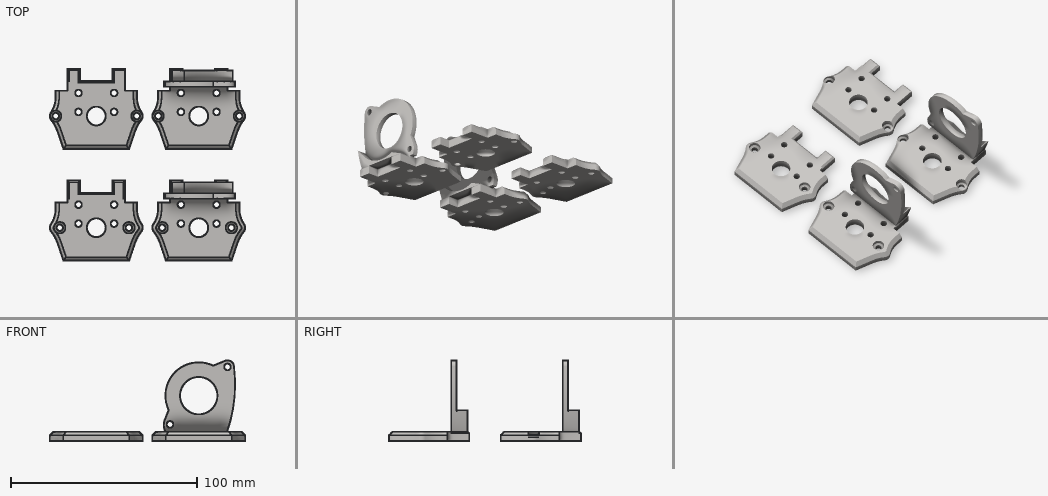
import cadquery as cq
import math

plate_thickness = 5.0
rim_chamfer = 2.0
front_edge_y = -17.7
front_half_width = 17.6
flank_top_x = 20.8
flank_top_y = -8.4
shoulder_x = 21.9
shoulder_y = 13.6
waist_y = 9.8
ear_x = 21.7
ear_radius = 3.3

prong_outer_x = 15.5
prong_inner_x = 8.6
prong_end_y = 25.5
notch_floor_y = 18.9
prong_chamfer = 1.0

base_bore_diameter = 10.0
mount_hole_diameter = 3.5
mount_hole_x = 9.6
mount_hole_rows = (2.2, 12.4)
screw_hole_diameter = 3.4
ear_counterbore_diameter = 6.0
ear_counterbore_depth = 3.0
inner_screw_reach = 18.6
inner_screw_shift = -1.0
inner_counterbore_diameter = 6.2
inner_counterbore_depth = 2.0

upright_front_y = 15.6
upright_back_y = 18.6
blower_z = 24.4
blower_radius = 18.0
blower_bore_diameter = 20.0
lug_offset = 15.4
lug_radius = 3.6
lug_hole_diameter = 3.5
lug_slope = 22.0
lower_slope_end_z = 11.4
lower_lug_foot_x = -18.0
volute_radius = 77.5
volute_center_rise = 6.2

cradle_back_y = prong_end_y - prong_chamfer
cradle_radius = 18.5
cradle_shoulder_angle = 25.0

column_pitch = 55.0
row_pitch = 60.0


def hollow_radius(end_x, end_y, normal_angle):
    """Radius of a concave arc that leaves (end_x, end_y) along its normal and touches the ear circle."""
    dx = end_x - ear_x
    along = dx * math.cos(normal_angle) + end_y * math.sin(normal_angle)
    return (dx**2 + end_y**2 - ear_radius**2) / (2 * (ear_radius - along))


def hollow(end_x, end_y, normal_angle):
    """Middle point of the concave arc and the point where it touches the ear circle."""
    radius = hollow_radius(end_x, end_y, normal_angle)
    center_x = end_x + radius * math.cos(normal_angle)
    center_y = end_y + radius * math.sin(normal_angle)
    toward_ear = math.atan2(-center_y, ear_x - center_x) % (2 * math.pi)
    toward_end = (normal_angle + math.pi) % (2 * math.pi)
    middle = (toward_ear + toward_end) / 2

    def on_arc(angle):
        return center_x + radius * math.cos(angle), center_y + radius * math.sin(angle)

    return on_arc(middle), on_arc(toward_ear)


def mirrored(point):
    """Point on the opposite side of the plate centre line."""
    return -point[0], point[1]


def rim_plate():
    """Main plate up to the shoulders, with its front and side rims chamfered."""
    flank_normal = math.atan2(front_half_width - flank_top_x, flank_top_y - front_edge_y)
    lower_middle, lower_touch = hollow(flank_top_x, flank_top_y, flank_normal)
    upper_middle, upper_touch = hollow(shoulder_x, waist_y, 0)
    ear_tip = (ear_x + ear_radius, 0)
    flank_top = (flank_top_x, flank_top_y)
    waist = (shoulder_x, waist_y)
    plate = (
        cq.Workplane("XY")
        .moveTo(-front_half_width, front_edge_y)
        .lineTo(front_half_width, front_edge_y)
        .lineTo(*flank_top)
        .threePointArc(lower_middle, lower_touch)
        .threePointArc(ear_tip, upper_touch)
        .threePointArc(upper_middle, waist)
        .lineTo(shoulder_x, shoulder_y)
        .lineTo(-shoulder_x, shoulder_y)
        .lineTo(*mirrored(waist))
        .threePointArc(mirrored(upper_middle), mirrored(upper_touch))
        .threePointArc(mirrored(ear_tip), mirrored(lower_touch))
        .threePointArc(mirrored(lower_middle), mirrored(flank_top))
        .close()
        .extrude(plate_thickness)
    )
    rim = plate.faces(">Z").edges("not >Y")
    return plate.newObject(rim.vals()).chamfer(rim_chamfer)


def prong_wedge(length):
    """Triangular cutter along +Y from the origin, taking off the edge at X = 0, Z = plate_thickness."""
    profile = [
        (0, plate_thickness),
        (prong_chamfer, plate_thickness),
        (0, plate_thickness - prong_chamfer),
    ]
    return cq.Workplane("XZ").polyline(profile).close().extrude(-length)


def prongs(left_bevel, right_bevel):
    """Two prongs joined by the notch floor; each bevel is the (start, end) Y of an outer chamfer."""
    block = (
        cq.Workplane("XY")
        .moveTo(-prong_outer_x, 0)
        .lineTo(prong_outer_x, 0)
        .lineTo(prong_outer_x, prong_end_y)
        .lineTo(prong_inner_x, prong_end_y)
        .lineTo(prong_inner_x, notch_floor_y)
        .lineTo(-prong_inner_x, notch_floor_y)
        .lineTo(-prong_inner_x, prong_end_y)
        .lineTo(-prong_outer_x, prong_end_y)
        .close()
        .extrude(plate_thickness)
    )
    rear_edges = block.faces(">Z").edges("not <Y").edges("not <X").edges("not >X")
    block = block.newObject(rear_edges.vals()).chamfer(prong_chamfer)
    left = prong_wedge(left_bevel[1] - left_bevel[0]).translate((-prong_outer_x, left_bevel[0], 0))
    right = prong_wedge(right_bevel[1] - right_bevel[0]).mirror("YZ")
    right = right.translate((prong_outer_x, right_bevel[0], 0))
    return block.cut(left).cut(right)


def flat_bracket(screw_xs, counterbore, left_bevel, right_bevel):
    """Plain bracket; the counterbore is a (diameter, depth) pair and each bevel a (start, end) pair in Y."""
    counterbore_diameter, counterbore_depth = counterbore
    mount_points = [(x, y) for x in (-mount_hole_x, mount_hole_x) for y in mount_hole_rows]
    plate = rim_plate().union(prongs(left_bevel, right_bevel))
    top = cq.Workplane("XY").workplane(offset=plate_thickness)
    bore = top.circle(base_bore_diameter / 2).extrude(-plate_thickness)
    mounts = top.pushPoints(mount_points).circle(mount_hole_diameter / 2).extrude(-plate_thickness)
    screws = top.pushPoints([(x, 0) for x in screw_xs])
    screw_holes = screws.circle(screw_hole_diameter / 2).extrude(-plate_thickness)
    counterbores = screws.circle(counterbore_diameter / 2).extrude(-counterbore_depth)
    return plate.cut(bore).cut(mounts).cut(screw_holes).cut(counterbores)


def volute_outline():
    """Closed outline of the upright in X and Z about the blower axis, resting on the plate top."""
    foot_z = plate_thickness - blower_z
    slope = math.radians(lug_slope)
    diagonal = math.sqrt(0.5)

    touch = (lug_offset - lug_radius * math.sin(slope), lug_offset + lug_radius * math.cos(slope))
    along = touch[0] * math.cos(slope) + touch[1] * math.sin(slope)
    run = along - math.sqrt(along**2 - touch[0] ** 2 - touch[1] ** 2 + blower_radius**2)
    notch = (touch[0] - run * math.cos(slope), touch[1] - run * math.sin(slope))

    lower_slope_end_rise = lower_slope_end_z - blower_z
    lower_slope_end_x = -touch[1] + (lower_slope_end_rise + touch[0]) * math.tan(slope)

    volute_rise = lug_offset - volute_center_rise
    volute_reach = volute_radius - lug_radius
    volute_center_x = lug_offset - math.sqrt(volute_reach**2 - volute_rise**2)
    volute_touch = (
        volute_center_x + volute_radius / volute_reach * (lug_offset - volute_center_x),
        volute_center_rise + volute_radius / volute_reach * volute_rise,
    )
    foot_x = volute_center_x + math.sqrt(volute_radius**2 - (foot_z - volute_center_rise) ** 2)
    lug_crown = lug_offset + lug_radius * diagonal

    return (
        cq.Workplane("XZ")
        .moveTo(foot_x, foot_z)
        .threePointArc((volute_center_x + volute_radius, volute_center_rise), volute_touch)
        .threePointArc((lug_crown, lug_crown), touch)
        .lineTo(*notch)
        .threePointArc((-blower_radius * diagonal, blower_radius * diagonal), (-notch[1], -notch[0]))
        .lineTo(lower_slope_end_x, lower_slope_end_rise)
        .tangentArcPoint((lower_lug_foot_x, foot_z), relative=False)
        .close()
    )


def upright():
    """Blower plate standing on the base, with the blower bore and a hole in each lug."""
    thickness = upright_back_y - upright_front_y
    plate = volute_outline().extrude(-thickness)
    bore = cq.Workplane("XZ").circle(blower_bore_diameter / 2).extrude(-thickness)
    lug_points = [(lug_offset, lug_offset), (-lug_offset, -lug_offset)]
    lug_holes = cq.Workplane("XZ").pushPoints(lug_points).circle(lug_hole_diameter / 2).extrude(-thickness)
    return plate.cut(bore).cut(lug_holes).translate((0, upright_front_y, blower_z))


def cradle():
    """Ledge behind the upright: a sloped left shoulder, a bowl round the blower, a 45 degree right ramp."""
    depth = cradle_back_y - upright_back_y
    foot_z = plate_thickness - blower_z
    slope = math.radians(lug_slope)
    bowl_end = math.radians(cradle_shoulder_angle)
    shoulder = (-cradle_radius * math.sin(bowl_end), -cradle_radius * math.cos(bowl_end))
    left_x = shoulder[0] - (shoulder[1] - foot_z) / math.tan(slope)
    ramp_foot = cradle_radius * math.sqrt(0.5)
    ramp_end = blower_radius + lug_radius
    section = (
        cq.Workplane("XZ")
        .moveTo(left_x, foot_z)
        .lineTo(*shoulder)
        .threePointArc((0, -cradle_radius), (ramp_foot, -ramp_foot))
        .lineTo(ramp_end, ramp_end - 2 * ramp_foot)
        .lineTo(ramp_end, foot_z)
        .close()
        .extrude(-depth)
    )
    ledge = section.intersect(volute_outline().extrude(-depth))
    return ledge.translate((0, upright_back_y, blower_z))


def upright_bracket(*sizes):
    """Bracket with the same base sizes, carrying the upright and its cradle."""
    return flat_bracket(*sizes).union(upright()).union(cradle())


short_left_bevel = (upright_back_y, prong_end_y)
short_right_bevel = (cradle_back_y, prong_end_y)
long_bevel = (upright_front_y, prong_end_y)
ear_screw_xs = (-ear_x, ear_x)
inner_screw_xs = (inner_screw_shift - inner_screw_reach, inner_screw_shift + inner_screw_reach)
ear_counterbore = (ear_counterbore_diameter, ear_counterbore_depth)
inner_counterbore = (inner_counterbore_diameter, inner_counterbore_depth)
rows = [
    (0, (inner_screw_xs, inner_counterbore, long_bevel, long_bevel)),
    (row_pitch, (ear_screw_xs, ear_counterbore, short_left_bevel, short_right_bevel)),
]

brackets = []
for row_y, sizes in rows:
    brackets.append(flat_bracket(*sizes).translate((0, row_y, 0)))
    brackets.append(upright_bracket(*sizes).translate((column_pitch, row_y, 0)))

result = cq.Compound.makeCompound([bracket.solids().val() for bracket in brackets])